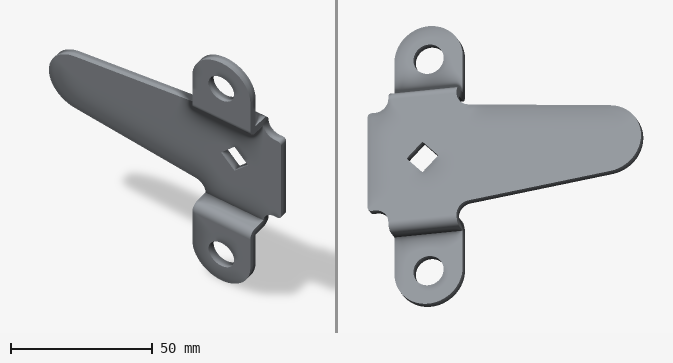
import cadquery as cq
import math

thickness = 3.1
overall_depth = 11.2
web_outer_z = 26.1
web_inner_z = web_outer_z - thickness
bend_radius = 3.0

overall_height = 105.0
ear_width = 25.0
ear_radius = ear_width / 2
ear_center_z = overall_height / 2 - ear_radius
ear_hole_diameter = 11.0

overall_length = 100.0
right_x = 20.0
plate_half_height = 18.5
tongue_radius = 12.5
tongue_center_x = right_x - overall_length + tongue_radius
taper_angle = math.radians(6.3)
square_hole_side = 8.2
neck_fillet = 4.8
corner_fillet = 1.4


def flat_outline():
    """Front outline of the whole part, as a block as deep as the part."""
    tangent_x = tongue_center_x - tongue_radius * math.sin(taper_angle)
    tangent_z = tongue_radius * math.cos(taper_angle)
    root_z = tangent_z + (-ear_radius - tangent_x) * math.tan(taper_angle)
    outline = (
        cq.Workplane("XZ")
        .moveTo(right_x, -plate_half_height)
        .lineTo(right_x, plate_half_height)
        .lineTo(ear_radius, plate_half_height)
        .lineTo(ear_radius, ear_center_z)
        .threePointArc((0, overall_height / 2), (-ear_radius, ear_center_z))
        .lineTo(-ear_radius, root_z)
        .lineTo(tangent_x, tangent_z)
        .threePointArc((tongue_center_x - tongue_radius, 0), (tangent_x, -tangent_z))
        .lineTo(-ear_radius, -root_z)
        .lineTo(-ear_radius, -ear_center_z)
        .threePointArc((0, -overall_height / 2), (ear_radius, -ear_center_z))
        .lineTo(ear_radius, -plate_half_height)
        .close()
        .extrude(overall_depth)
    )
    neck_corners = [(side * ear_radius, end * z)
                    for side, z in ((1, plate_half_height), (-1, root_z)) for end in (1, -1)]
    plate_corners = [(right_x, end * plate_half_height) for end in (1, -1)]
    outline = fillet_corners(outline, neck_corners, neck_fillet)
    return fillet_corners(outline, plate_corners, corner_fillet)


def fillet_corners(block, corners, radius):
    """Round the block's Y-direction edges that stand at the given (x, z) corners."""
    middle_y = -overall_depth / 2
    edges = block.edges("|Y")
    picked = [edge for edge in edges.vals()
              if any(edge.Center().sub(cq.Vector(x, middle_y, z)).Length < thickness / 10
                     for x, z in corners)]
    return block.newObject(picked).fillet(radius)


def bent_sheet():
    """Joggled side profile, swept along the full length; outer bends are rounded."""
    upper_half = [
        (0, web_outer_z),
        (thickness - overall_depth, web_outer_z),
        (thickness - overall_depth, overall_height / 2),
        (-overall_depth, overall_height / 2),
        (-overall_depth, web_inner_z),
        (-thickness, web_inner_z),
    ]
    lower_half = [(y, -z) for y, z in reversed(upper_half)]
    sheet = (
        cq.Workplane("YZ", origin=(right_x - overall_length, 0, 0))
        .polyline(upper_half + lower_half)
        .close()
        .extrude(overall_length)
    )
    back_edges = sheet.faces(">Y").edges("|X")
    ear_edges = sheet.faces("<Y").edges("|X").vals()
    bend_edges = back_edges.vals() + [
        edge for edge in ear_edges if abs(edge.Center().z) < overall_height / 4
    ]
    return sheet.newObject(bend_edges).fillet(bend_radius)


ear_holes = (
    cq.Workplane("XZ")
    .pushPoints([(0, ear_center_z), (0, -ear_center_z)])
    .circle(ear_hole_diameter / 2)
    .extrude(overall_depth)
)
square_hole = (
    cq.Workplane("XZ")
    .transformed(rotate=(0, 0, 45))
    .rect(square_hole_side, square_hole_side)
    .extrude(overall_depth)
)

result = bent_sheet().intersect(flat_outline()).cut(ear_holes).cut(square_hole)